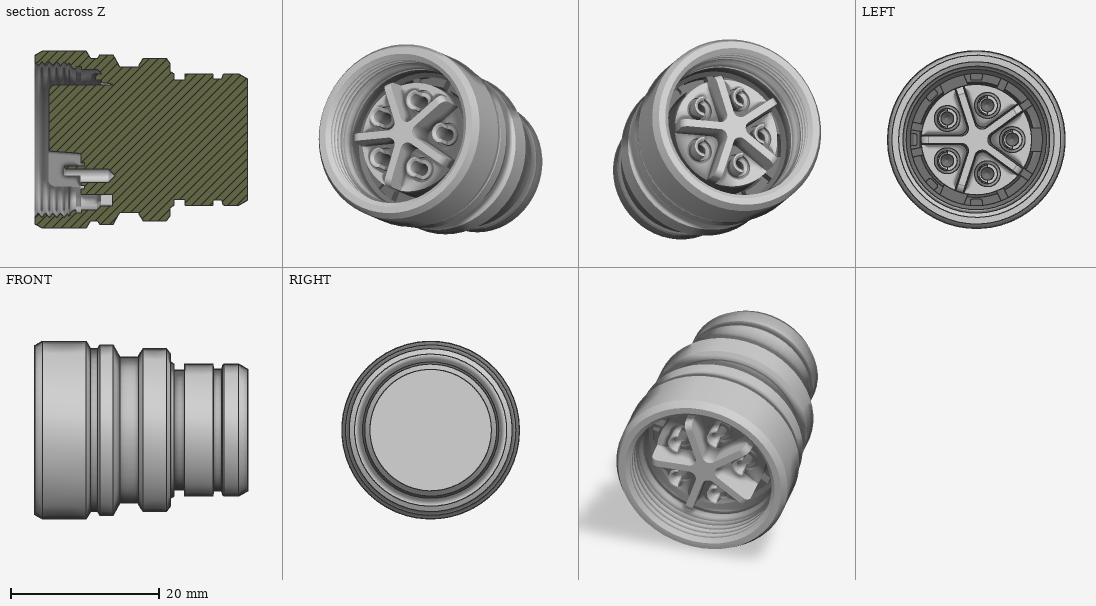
import cadquery as cq
import math

length = 28.8
nut_radius = 12.0
mouth_rim_radius = 11.4
collar_radius = 11.5
flange_radius = 11.0
flange_root_radius = 10.05
flange_rear_radius = 10.27
waist_radius = 9.87
shoulder_radius = 9.2
tail_radius = 8.91
neck_radius = 8.1
tail_groove_radius = 8.22
tail_lip_radius = 8.75
tail_end_radius = 8.2

nut_start = 1.07
nut_end = 6.97
nut_bevel_end = 7.57
collar_bevel_start = 8.5
collar_start = 8.8
collar_end = 10.6
waist_start = 11.5
waist_end = 14.05
flange_start = 14.65
flange_end = 17.8
flange_rear = 18.33
neck_start = 18.83
neck_end = 20.25
tail_groove_start = 24.15
tail_groove_edge = 0.05
tail_groove_end = 25.25
tail_lip = 25.4
tail_ring_start = 25.6
tail_ring_end = 27.55

thread_root_radius = 10.5
thread_crest_radius = 9.92
thread_pitch = 1.0
thread_turns = 4
lip_start = 4.7
lip_rounding = 0.95
throat_radius = 9.47
groove_start = lip_start + lip_rounding
groove_width = 0.65
groove_depth = 0.4
socket_radius = 8.92

ring_front = 9.0
ring_base = 10.5
ring_inner_radius = 7.8
cut_margin = 1.0
plate_radius = 7.45
plate_front = 5.2
earth_recess_depth = 1.0
recess_floor = plate_front + earth_recess_depth

arm_count = 5
arm_step = 360 / arm_count
star_front = 1.9
arm_base_width = 1.4
arm_front_width = 1.0
arm_tip_radius = plate_radius
arm_tip_rounding = 1.0
star_corner_radius = 1.0

contact_height = 2.2
contact_circle_radius = 4.85
contact_front = plate_front - contact_height
contact_radius = 1.35
contact_clearance_radius = 1.75
contact_clearance_depth = 0.5
contact_bore_radius = 0.87
contact_bore_depth = 6.0
contact_bore_chamfer = 0.3

narrow_slot_angles = (35, 64.6, 168)
narrow_slot_width = 1.05
wide_slot_angle = 112.2
wide_slot_width = 3.48
key_slot_width = 3.2
window_angles = (90, 135)
window_width = 1.6
window_inner_radius = 8.02
window_corner_radius = 0.3
window_depth = 0.8
key_width = 2.3
key_inner_radius = 7.6
key_nose_height = 0.8
key_nose_rounding = 0.4


def revolve_about_x(outline):
    return outline.close().revolve(360, (0, 0, 0), (1, 0, 0))


def at_angle(solid, angle):
    return solid.rotate((0, 0, 0), (1, 0, 0), angle)


def both_sides(angles):
    return [sign * angle for angle in angles for sign in (1, -1)]


def cylinder_along_x(radius, start, end):
    return cq.Workplane("YZ").workplane(offset=start).circle(radius).extrude(end - start)


def radial_block(inner, outer, width, start, end):
    """Block reaching from the inner to the outer radius toward -Y."""
    size = (end - start, outer - inner, width)
    return cq.Workplane("XY").box(*size).translate(((start + end) / 2, -(inner + outer) / 2, 0))


def make_shell():
    profile = [
        (0, 0),
        (0, mouth_rim_radius),
        (nut_start, nut_radius),
        (nut_end, nut_radius),
        (nut_bevel_end, flange_radius),
        (collar_bevel_start, flange_radius),
        (collar_start, collar_radius),
        (collar_end, collar_radius),
        (waist_start, waist_radius),
        (waist_end, waist_radius),
        (waist_end, flange_root_radius),
        (flange_start, flange_radius),
        (flange_end, flange_radius),
        (flange_rear, flange_rear_radius),
        (flange_rear, shoulder_radius),
        (neck_start, tail_radius),
        (neck_start, neck_radius),
        (neck_end, neck_radius),
        (neck_end, tail_radius),
        (tail_groove_start - tail_groove_edge, tail_radius),
        (tail_groove_start, tail_groove_radius),
        (tail_groove_end, tail_groove_radius),
        (tail_lip, tail_lip_radius),
        (tail_ring_start, tail_radius),
        (tail_ring_end, tail_radius),
        (length, tail_end_radius),
        (length, 0),
    ]
    return revolve_about_x(cq.Workplane("XY").polyline(profile))


def make_socket():
    outline = cq.Workplane("XY").moveTo(0, 0).lineTo(0, thread_root_radius)
    for turn in range(thread_turns):
        root = turn * thread_pitch
        outline = outline.lineTo(root + thread_pitch / 2, thread_crest_radius)
        outline = outline.lineTo(root + thread_pitch, thread_root_radius)
    last_crest = (thread_turns + 0.5) * thread_pitch
    groove_end = groove_start + groove_width
    outline = (
        outline.lineTo(last_crest, thread_crest_radius)
        .lineTo(lip_start, throat_radius + lip_rounding)
        .radiusArc((groove_start, throat_radius), -lip_rounding)
        .lineTo(groove_start, throat_radius + groove_depth)
        .lineTo(groove_end, throat_radius + groove_depth)
        .lineTo(groove_end, throat_radius)
        .lineTo(ring_front - (throat_radius - socket_radius), throat_radius)
        .lineTo(ring_front, socket_radius)
        .lineTo(ring_base, socket_radius)
        .lineTo(ring_base, plate_radius)
        .lineTo(plate_front, plate_radius)
        .lineTo(plate_front, 0)
    )
    return revolve_about_x(outline)


def make_ring():
    profile = [
        (ring_front, socket_radius),
        (ring_front, ring_inner_radius),
        (ring_base, plate_radius),
        (ring_base, socket_radius),
    ]
    ring = revolve_about_x(cq.Workplane("XY").polyline(profile))

    def cut_slot(body, width, angle):
        inner = plate_radius - cut_margin
        slot = radial_block(inner, socket_radius + cut_margin, width, ring_front, ring_base)
        return body.cut(at_angle(slot, angle))

    for angle in both_sides(narrow_slot_angles):
        ring = cut_slot(ring, narrow_slot_width, angle)
    for angle in both_sides([wide_slot_angle]):
        ring = cut_slot(ring, wide_slot_width, angle)
    ring = cut_slot(ring, key_slot_width, 0)

    window = radial_block(
        window_inner_radius, socket_radius + cut_margin, window_width, ring_front, ring_front + window_depth
    )
    window = window.edges("|X and >Y").fillet(window_corner_radius)
    for angle in both_sides(window_angles):
        ring = ring.cut(at_angle(window, angle))
    return ring


def make_key():
    """Key opposite the wide gap, with a nose that is rounded over toward the socket wall."""
    key = radial_block(key_inner_radius, socket_radius, key_width, ring_front, ring_base)
    nose = radial_block(
        window_inner_radius, socket_radius, window_width, ring_front - key_nose_height, ring_front
    )
    nose = nose.edges("|X and >Y").fillet(window_corner_radius)
    nose = nose.faces("<X").edges("<Y").fillet(key_nose_rounding)
    return at_angle(key.union(nose), 180)


def make_earth_recess():
    """Lowers the plate between the two arms on either side of the -Y direction."""
    half_step = math.radians(arm_step / 2)
    half_width = arm_tip_radius * math.tan(half_step)
    sector = [(0, 0), (-arm_tip_radius, half_width), (-arm_tip_radius, -half_width)]
    floor_plane = cq.Workplane("YZ", origin=(plate_front, 0, 0))
    return floor_plane.polyline(sector).close().extrude(earth_recess_depth)


def make_star():
    arm_reach = arm_tip_radius + arm_tip_rounding
    arm_profile = [
        (recess_floor, -arm_base_width / 2),
        (recess_floor, arm_base_width / 2),
        (star_front, arm_front_width / 2),
        (star_front, -arm_front_width / 2),
    ]
    arm = cq.Workplane("XZ").polyline(arm_profile).close().extrude(-arm_reach)
    star = arm
    for index in range(1, arm_count):
        star = star.union(at_angle(arm, index * arm_step))

    def is_inner_corner(edge):
        start, end = edge.startPoint(), edge.endPoint()
        center = edge.Center()
        runs_along_x = abs(start.x - end.x) > (recess_floor - star_front) / 2
        return runs_along_x and math.hypot(center.y, center.z) < 2 * arm_base_width

    star = star.edges().filter(is_inner_corner).fillet(star_corner_radius)
    envelope = cylinder_along_x(arm_tip_radius, star_front, recess_floor)
    envelope = envelope.faces("<X").edges().fillet(arm_tip_rounding)
    return star.intersect(envelope)


def make_contact():
    """Socket contact on the X axis, its -Y half cut away down to the plate."""
    contact = cylinder_along_x(contact_radius, contact_front, plate_front + contact_clearance_depth)
    half = radial_block(0, 2 * contact_radius, 2 * contact_radius, contact_front, plate_front)
    return contact.cut(half)


def make_bore():
    bore_end = contact_front + contact_bore_depth
    outline = cq.Workplane("XY").polyline([
        (contact_front, 0),
        (contact_front, contact_bore_radius + contact_bore_chamfer),
        (contact_front + contact_bore_chamfer, contact_bore_radius),
        (bore_end, contact_bore_radius),
        (bore_end + contact_bore_radius, 0),
    ])
    return revolve_about_x(outline)


def make_clearance():
    return cylinder_along_x(contact_clearance_radius, plate_front, plate_front + contact_clearance_depth)


def at_contacts(solid):
    """Copies around the contact circle; the earth contact at -Y sits on the lowered floor."""
    copies = []
    for index in range(arm_count):
        angle = math.radians(index * arm_step)
        y = -contact_circle_radius * math.cos(angle)
        z = -contact_circle_radius * math.sin(angle)
        setback = earth_recess_depth if index == 0 else 0
        copies.append(solid.translate((setback, y, z)))
    return copies


result = make_shell().cut(make_socket()).cut(make_earth_recess())
result = result.union(make_ring()).union(make_key()).union(make_star())
for clearance in at_contacts(make_clearance()):
    result = result.cut(clearance)
for contact in at_contacts(make_contact()):
    result = result.union(contact)
for bore in at_contacts(make_bore()):
    result = result.cut(bore)